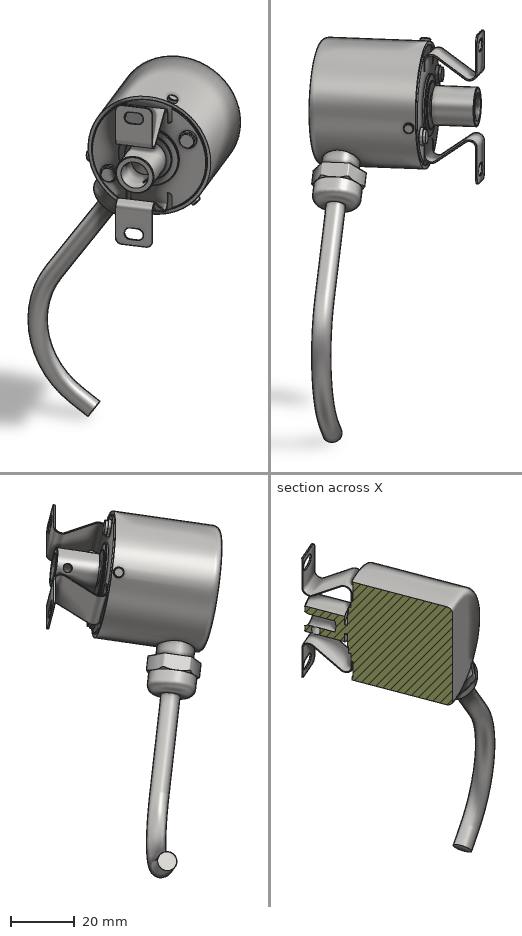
import cadquery as cq
import math


housing_radius = 20.2
housing_depth = 34.5
housing_back_fillet = 2.3
rim_inner_radius = 19.0
rim_groove_depth = 0.4

skirt_screw_angles = (70, 190, 315)
skirt_screw_radius = 1.7
skirt_screw_chamfer = 0.3
skirt_screw_y = 2.0
skirt_screw_reach = 21.2

plate_radius = 18.6
sheet_thickness = 0.5
plate_front_y = -0.4
plate_mid_y = plate_front_y + sheet_thickness / 2
arm_width = 12.0
arm_root_z = 12.0
arm_tip_y = -17.1
arm_tip_z = 23.9
arm_bend_radius = 2.3
outer_bend_z = 14.9
inner_bend_z = 12.0
arm_corner_radius = 2.0
notch_width = 15.0
notch_corner_radius = 1.1
slot_length = 6.3
slot_height = 4.0
slot_z = 19.9

plate_screw_radius = 2.8
plate_screw_y = -1.4
plate_screw_top_radius = 2.3
plate_screw_top_y = -2.3
plate_screw_circle = 14.9
plate_screw_angles = (30, 210)

flange_radius = 10.0
ring_chamfer = 0.3
flange_y = -1.1
collar_radius = 7.8
collar_y = -1.5
neck_radius = 4.0
hub_radius = 6.3
hub_rear_y = -2.4
hub_front_y = -16.1
hub_chamfer = 0.3
bore_radius = 4.1
bore_depth = 10.2
countersink_radius = 4.5
countersink_depth = 1.3
drill_point_angle = 118
clamp_hole_radius = 1.4
clamp_hole_angle = -45
clamp_hole_y = -12.2

gland_y = 25.4
gland_lean = 35
gland_neck_radius = 6.0
nut_start = 24.1
nut_length = 5.0
nut_corner_chamfer = 1.0
nut_chamfer_length = 0.6
nut_width = 14.9
nut_edge_fillet = 0.6
cap_radius = 7.7
cap_end = 35.6
cap_fillet = 2.8

cable_radius = 3.0
cable_straight_end = 67.9
cable_bend_radius = 29.9
cable_tail = 7.0


def disc(radius, rear_y, front_y):
    """Cylinder about the Y axis between two Y positions."""
    return cq.Workplane("XZ", origin=(0, rear_y, 0)).circle(radius).extrude(rear_y - front_y)


def polar(distance, degrees):
    """X and Z of a point at an angle from +X toward +Z."""
    angle = math.radians(degrees)
    return distance * math.cos(angle), distance * math.sin(angle)


def radial_plane(degrees, y):
    """Plane on the Y axis whose normal points outward at an angle in XZ."""
    x, z = polar(1, degrees)
    return cq.Plane(origin=(0, y, 0), xDir=(0, 1, 0), normal=(x, 0, z))


def make_housing():
    body = disc(housing_radius, housing_depth, 0).faces(">Y").edges().fillet(housing_back_fillet)
    body = body.cut(disc(rim_inner_radius, rim_groove_depth, 0))
    for angle in skirt_screw_angles:
        screw = (
            cq.Workplane(radial_plane(angle, skirt_screw_y))
            .workplane(offset=rim_inner_radius)
            .circle(skirt_screw_radius)
            .extrude(skirt_screw_reach - rim_inner_radius)
            .faces(cq.selectors.DirectionMinMaxSelector(radial_plane(angle, 0).zDir))
            .chamfer(skirt_screw_chamfer)
        )
        body = body.union(screw)
    return body


def make_arm():
    """Upper arm: sheet that leaves the plate, dips toward the hub and rises again."""
    outer_bend_y = plate_mid_y - arm_bend_radius
    inner_bend_y = arm_tip_y + sheet_thickness / 2 + arm_bend_radius
    run_y = outer_bend_y - inner_bend_y
    drop_z = outer_bend_z - inner_bend_z
    slope = math.atan2(drop_z, run_y) + math.asin(2 * arm_bend_radius / math.hypot(run_y, drop_z))

    def on_outer_bend(angle):
        return (
            outer_bend_y - arm_bend_radius * math.sin(angle),
            outer_bend_z + arm_bend_radius * math.cos(angle),
        )

    def on_inner_bend(angle):
        return (
            inner_bend_y + arm_bend_radius * math.sin(angle),
            inner_bend_z - arm_bend_radius * math.cos(angle),
        )

    path = (
        cq.Workplane("YZ")
        .moveTo(plate_mid_y, arm_root_z)
        .lineTo(plate_mid_y, outer_bend_z)
        .threePointArc(on_outer_bend(0), on_outer_bend(slope))
        .lineTo(*on_inner_bend(slope))
        .threePointArc(on_inner_bend(0), on_inner_bend(-math.pi / 2))
        .lineTo(inner_bend_y - arm_bend_radius, arm_tip_z)
    )
    arm = (
        cq.Workplane("XY", origin=(0, plate_mid_y, arm_root_z))
        .rect(arm_width, sheet_thickness)
        .sweep(path)
    )
    arm = arm.faces(">Z").edges("|Y").fillet(arm_corner_radius)
    slot = (
        cq.Workplane("XZ", origin=(0, arm_tip_y + sheet_thickness * 2, slot_z))
        .slot2D(slot_length, slot_height)
        .extrude(sheet_thickness * 3)
    )
    return arm.cut(slot)


def make_spring_plate():
    plate = disc(plate_radius, rim_groove_depth, plate_front_y)
    plate_height = rim_groove_depth - plate_front_y
    plate_center_y = (rim_groove_depth + plate_front_y) / 2
    notch_height = plate_radius - arm_root_z
    notch = (
        cq.Workplane("XY")
        .box(notch_width, plate_height, notch_height)
        .edges("|Y and <Z")
        .fillet(notch_corner_radius)
        .translate((0, plate_center_y, arm_root_z + notch_height / 2))
    )
    arm = make_arm()
    plate = plate.cut(notch).cut(notch.mirror("XY"))
    root = cq.Workplane("XY").box(arm_width, plate_height, sheet_thickness)
    root = root.translate((0, plate_center_y, arm_root_z))
    arm = arm.union(root)
    return plate.union(arm).union(arm.mirror("XY"))


def make_plate_screws():
    screw = disc(plate_screw_radius, 0, plate_screw_y)
    screw = screw.union(disc(plate_screw_top_radius, 0, plate_screw_top_y))
    screws = cq.Workplane("XY")
    for angle in plate_screw_angles:
        x, z = polar(plate_screw_circle, angle)
        screws = screws.union(screw.translate((x, 0, z)))
    return screws


def chamfered_ring(radius, front_y):
    """Disc from the housing face forward, with a small chamfer on its front edge."""
    return disc(radius, 0, front_y).faces("<Y").edges().chamfer(ring_chamfer)


def make_hub():
    hub = disc(hub_radius, hub_rear_y, hub_front_y).faces("<Y").edges().chamfer(hub_chamfer)
    return (
        hub.union(disc(neck_radius, 0, hub_rear_y))
        .union(chamfered_ring(collar_radius, collar_y))
        .union(chamfered_ring(flange_radius, flange_y))
    )


def make_bore():
    """Blind countersunk hole with a conical bottom, plus the radial clamping hole."""
    bore_end = hub_front_y + bore_depth
    point = bore_radius / math.tan(math.radians(drill_point_angle / 2))
    bore = (
        cq.Workplane("XY")
        .polyline(
            [
                (0, hub_front_y),
                (countersink_radius, hub_front_y),
                (bore_radius, hub_front_y + countersink_depth),
                (bore_radius, bore_end),
                (0, bore_end + point),
            ]
        )
        .close()
        .revolve(360, (0, 0, 0), (0, 1, 0))
    )
    clamp_hole = (
        cq.Workplane(radial_plane(clamp_hole_angle, clamp_hole_y))
        .circle(clamp_hole_radius)
        .extrude(hub_radius)
    )
    return bore.union(clamp_hole)


def make_gland():
    """Gland built along its own axis: neck, hexagon nut and rounded cap."""
    plane = radial_plane(-90 - gland_lean, gland_y)
    base = cq.Workplane(plane)
    neck = base.workplane(offset=housing_radius / 2).circle(gland_neck_radius)
    neck = neck.extrude(nut_start - housing_radius / 2)
    nut_across_corners = nut_width / math.cos(math.pi / 6)
    nut_turning = (
        base.workplane(offset=nut_start)
        .circle(nut_across_corners / 2)
        .extrude(nut_length)
        .faces(cq.selectors.DirectionMinMaxSelector(plane.zDir))
        .chamfer(nut_chamfer_length, nut_corner_chamfer)
    )
    nut = (
        base.workplane(offset=nut_start)
        .polygon(6, nut_across_corners)
        .extrude(nut_length)
        .edges(cq.selectors.ParallelDirSelector(plane.zDir))
        .fillet(nut_edge_fillet)
        .intersect(nut_turning)
    )
    cap_start = nut_start + nut_length
    cap = (
        base.workplane(offset=cap_start)
        .circle(cap_radius)
        .extrude(cap_end - cap_start)
        .faces(cq.selectors.DirectionMinMaxSelector(plane.zDir))
        .edges()
        .fillet(cap_fillet)
    )
    return neck.union(nut).union(cap)


def make_cable():
    lean_angle = -90 - gland_lean
    start = polar(nut_start, lean_angle)
    bend_start = polar(cable_straight_end, lean_angle)
    to_center = polar(cable_bend_radius, lean_angle + 90)
    center = (bend_start[0] + to_center[0], bend_start[1] + to_center[1])

    def on_bend(turn):
        x, z = polar(cable_bend_radius, lean_angle - 90 + turn)
        return center[0] + x, center[1] + z

    bend_end = on_bend(90)
    tail = polar(cable_tail, lean_angle + 90)
    path = (
        cq.Workplane("XZ", origin=(0, gland_y, 0))
        .moveTo(*start)
        .lineTo(*bend_start)
        .threePointArc(on_bend(45), bend_end)
        .lineTo(bend_end[0] + tail[0], bend_end[1] + tail[1])
    )
    profile_plane = radial_plane(lean_angle, gland_y)
    return cq.Workplane(profile_plane).workplane(offset=nut_start).circle(cable_radius).sweep(path)


result = (
    make_housing()
    .union(make_spring_plate())
    .union(make_plate_screws())
    .union(make_hub())
    .union(make_gland())
    .union(make_cable())
    .cut(make_bore())
)